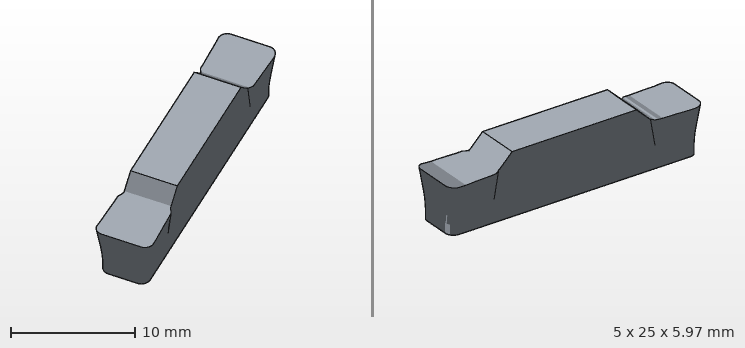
import cadquery as cq
import math

length = 24.95
height = 5.97
body_width = 4.15
head_width = 5.05

crest_half_length = 6.15
ramp_angle = math.radians(45)
ramp_foot_y = 7.3
ramp_foot_radius = 0.7
tip_z = 4.67
chip_facets = [(8.0, 4.62), (8.45, 4.6), (9.95, 4.6), (10.95, 4.57), (11.63, 4.6)]

end_relief = math.radians(7)
relief_blend_top_z = 2.25
relief_blend_radius = 4.25

flank_relief = math.radians(6.4)
flank_start_y = 11.63
shoulder_y = 7.9
shoulder_half_width = 2.37
shoulder_root_y = 7.45
shoulder_radius = 0.15
corner_radius = 0.8
edge_margin = 0.25

tip_y = length / 2
ramp_foot_z = height - (ramp_foot_y - crest_half_length) * math.tan(ramp_angle)
relief_start_y = tip_y - (tip_z - relief_blend_top_z) * math.tan(end_relief)
foot_y = relief_start_y - relief_blend_radius * (1 - math.cos(end_relief))
relief_blend_foot_z = relief_blend_top_z - relief_blend_radius * math.sin(end_relief)


def arc_point(center_y, center_z, radius, angle):
    return (center_y + radius * math.cos(angle), center_z + radius * math.sin(angle))


def half_profile():
    """Side profile of the +Y half, extruded wider than the heads."""
    foot_center_y = ramp_foot_y + ramp_foot_radius * math.sin(ramp_angle)
    foot_center_z = ramp_foot_z + ramp_foot_radius * math.cos(ramp_angle)
    level = -math.pi / 2
    ramp_arc_mid = arc_point(foot_center_y, foot_center_z, ramp_foot_radius, level - ramp_angle / 2)
    ramp_arc_end = arc_point(foot_center_y, foot_center_z, ramp_foot_radius, level)

    blend_mid = arc_point(
        foot_y + relief_blend_radius, relief_blend_foot_z, relief_blend_radius, math.pi - end_relief / 2
    )
    return (
        cq.Workplane("YZ")
        .moveTo(0, 0)
        .lineTo(0, height)
        .lineTo(crest_half_length, height)
        .lineTo(ramp_foot_y, ramp_foot_z)
        .threePointArc(ramp_arc_mid, ramp_arc_end)
        .polyline(chip_facets + [(tip_y, tip_z)], includeCurrent=True)
        .lineTo(relief_start_y, relief_blend_top_z)
        .threePointArc(blend_mid, (foot_y, relief_blend_foot_z))
        .lineTo(foot_y, 0)
        .close()
        .extrude(head_width, both=True)
    )


def both_sides(right_side):
    """Complete a half outline with its mirror image in X."""
    return right_side + [(-x, y) for x, y in reversed(right_side)]


def head_block():
    """Head in plan: widens from the shoulder to the tip, with flanks leaning in downward."""
    flank_slope = (head_width / 2 - shoulder_half_width) / (flank_start_y - shoulder_y)
    outer_y = tip_y + head_width
    outer_half_width = head_width / 2 + flank_slope * (outer_y - flank_start_y)
    shoulder_slope = (shoulder_half_width - body_width / 2) / (shoulder_y - shoulder_root_y)
    inner_y = shoulder_root_y - body_width / 4
    inner_half_width = body_width / 2 - shoulder_slope * body_width / 4
    right_side = [
        (inner_half_width, inner_y),
        (shoulder_half_width, shoulder_y),
        (outer_half_width, outer_y),
    ]
    flank_lean = ramp_foot_z * math.tan(flank_relief)
    right_base = [(x - flank_lean, y) for x, y in right_side]
    block = (
        cq.Workplane("XY")
        .polyline(both_sides(right_base))
        .close()
        .workplane(offset=ramp_foot_z)
        .polyline(both_sides(right_side))
        .close()
        .loft(ruled=True)
    )
    shoulder_zone = cq.selectors.BoxSelector(
        (-head_width, shoulder_y - edge_margin, edge_margin),
        (head_width, shoulder_y + edge_margin, tip_z - edge_margin),
    )
    return block.edges(shoulder_zone).fillet(shoulder_radius)


def half_insert():
    body = cq.Workplane("XY").box(body_width, 2 * length, height, centered=(True, True, False))
    half = half_profile().intersect(body.union(head_block()))
    for side in (-1, 1):
        corner_zone = cq.selectors.BoxSelector(
            (side * (body_width / 2 - edge_margin), foot_y - edge_margin, edge_margin),
            (side * head_width, tip_y + edge_margin, tip_z - edge_margin),
        )
        half = half.edges(corner_zone).fillet(corner_radius)
    return half


half = half_insert()
result = half.union(half.mirror("XZ"))